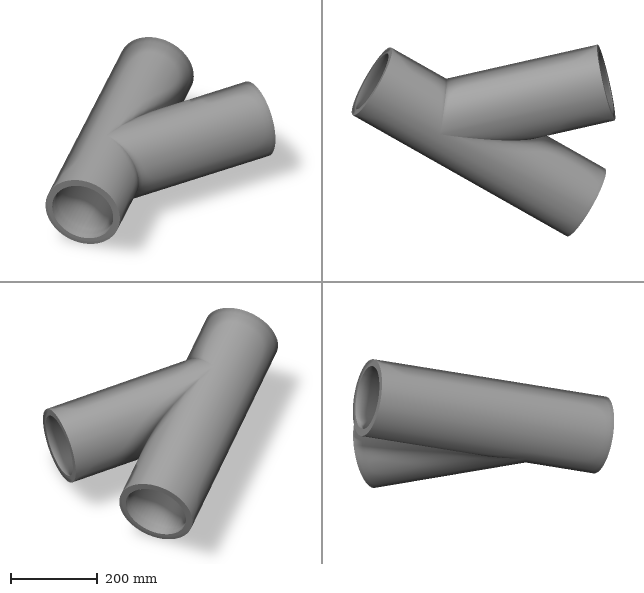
import cadquery as cq

run_length = 578.0
outer_diameter = 180.0
wall = 16.0
branch_angle = 45.0
branch_length = 394.0
branch_offset = 184.5

outer_radius = outer_diameter / 2
bore_radius = outer_radius - wall


def run_cylinder(radius):
    """Cylinder along Y, from one end of the run to the other."""
    start = cq.Vector(0, -branch_offset, 0)
    return cq.Workplane(cq.Solid.makeCylinder(radius, run_length, start, cq.Vector(0, 1, 0)))


def branch_cylinder(radius):
    """Cylinder from the axis crossing, leaning from +Y towards +X."""
    upright = cq.Solid.makeCylinder(radius, branch_length, cq.Vector(0, 0, 0), cq.Vector(0, 1, 0))
    return cq.Workplane(upright.rotate(cq.Vector(0, 0, 0), cq.Vector(0, 0, 1), -branch_angle))


def wye(radius):
    """Run and branch of equal radius joined together."""
    return run_cylinder(radius).union(branch_cylinder(radius))


result = wye(outer_radius).cut(wye(bore_radius))